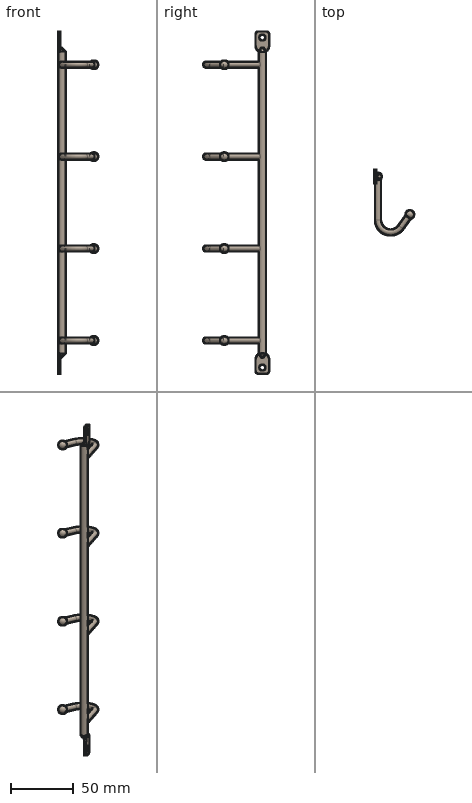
import cadquery as cq
import math


rail_length = 272.0

bar_diameter = 6.0
bar_radius = bar_diameter / 2

tab_width = 11.0
tab_length = 16.7
tab_thickness = 2.0
tab_corner_radius = 2.5
screw_hole_diameter = 4.6
screw_hole_inset = 5.0
wall_x = -bar_radius
tab_face_x = wall_x + tab_thickness

bar_length = 240.0
bar_end_z = bar_length / 2
tip_taper_angle = 35.0
slope_drop = 0.5
slope_start_z = bar_end_z - slope_drop
slope_tip_z = slope_start_z + bar_diameter - tab_thickness

hook_count = 4
hook_pitch = 73.0
hook_diameter = 5.0
shank_length = 34.48
bend_radius = 10.0
bend_angle = 144.5
weld_radius = 0.5
ball_diameter = 7.0
overall_depth_x = 31.8
ball_front_x = wall_x + overall_depth_x


def make_bar():
    """Round bar whose two ends taper in a cone and slope from the bar front down to the tab face."""
    bar = cq.Workplane("XY").circle(bar_radius).extrude(bar_end_z, both=True)
    tip = (
        cq.Workplane("XY", origin=(0, 0, bar_end_z))
        .circle(bar_radius)
        .extrude(slope_tip_z - bar_end_z, taper=tip_taper_angle)
    )
    bar = bar.union(tip).union(tip.mirror("XY"))
    side_profile = (
        cq.Workplane("XZ")
        .moveTo(wall_x, -slope_tip_z)
        .lineTo(tab_face_x, -slope_tip_z)
        .lineTo(bar_radius, -slope_start_z)
        .lineTo(bar_radius, slope_start_z)
        .lineTo(tab_face_x, slope_tip_z)
        .lineTo(wall_x, slope_tip_z)
        .close()
        .extrude(bar_radius, both=True)
    )
    return bar.intersect(side_profile)


def make_top_tab():
    """Flat tab with a half-round lower end, rounded upper corners and a screw hole."""
    half_width = tab_width / 2
    top_z = rail_length / 2
    bottom_z = top_z - tab_length
    tab = (
        cq.Workplane("YZ", origin=(wall_x, 0, 0))
        .moveTo(-half_width, top_z)
        .lineTo(-half_width, bottom_z + half_width)
        .threePointArc((0, bottom_z), (half_width, bottom_z + half_width))
        .lineTo(half_width, top_z)
        .close()
        .extrude(tab_thickness)
    )
    tab = tab.edges("|X and >Z").fillet(tab_corner_radius)
    hole = (
        cq.Workplane("YZ", origin=(wall_x, 0, 0))
        .center(0, top_z - screw_hole_inset)
        .circle(screw_hole_diameter / 2)
        .extrude(tab_thickness)
    )
    return tab.cut(hole)


def make_hook():
    """Hook at Z = 0: straight shank, bend, straight tip and an end ball."""
    def bend_point(angle):
        turn = math.radians(angle)
        return (
            bend_radius * (1 - math.cos(turn)),
            -shank_length - bend_radius * math.sin(turn),
        )

    bend_end = bend_point(bend_angle)
    tip_direction = math.radians(180 - bend_angle)
    ball_x = ball_front_x - ball_diameter / 2
    ball_y = bend_end[1] + (ball_x - bend_end[0]) / math.tan(tip_direction)
    path = (
        cq.Workplane("XY")
        .moveTo(0, 0)
        .lineTo(0, -shank_length)
        .threePointArc(bend_point(bend_angle / 2), bend_end)
        .lineTo(ball_x, ball_y)
    )
    rod = cq.Workplane("XZ").circle(hook_diameter / 2).sweep(path)
    ball = cq.Workplane("XZ").sphere(ball_diameter / 2).translate((ball_x, ball_y, 0))
    return rod.union(ball)


top_tab = make_top_tab()
bottom_tab = top_tab.mirror("XY")
result = make_bar().union(top_tab).union(bottom_tab)

hook = make_hook()
top_hook_z = (hook_count - 1) / 2 * hook_pitch
for index in range(hook_count):
    result = result.union(hook.translate((0, 0, top_hook_z - index * hook_pitch)))

weld_zone_z = top_hook_z + hook_diameter
weld_zone = cq.selectors.BoxSelector(
    (-bar_radius, -bar_radius, -weld_zone_z),
    (bar_radius, 0, weld_zone_z),
)
result = result.edges(weld_zone).fillet(weld_radius)